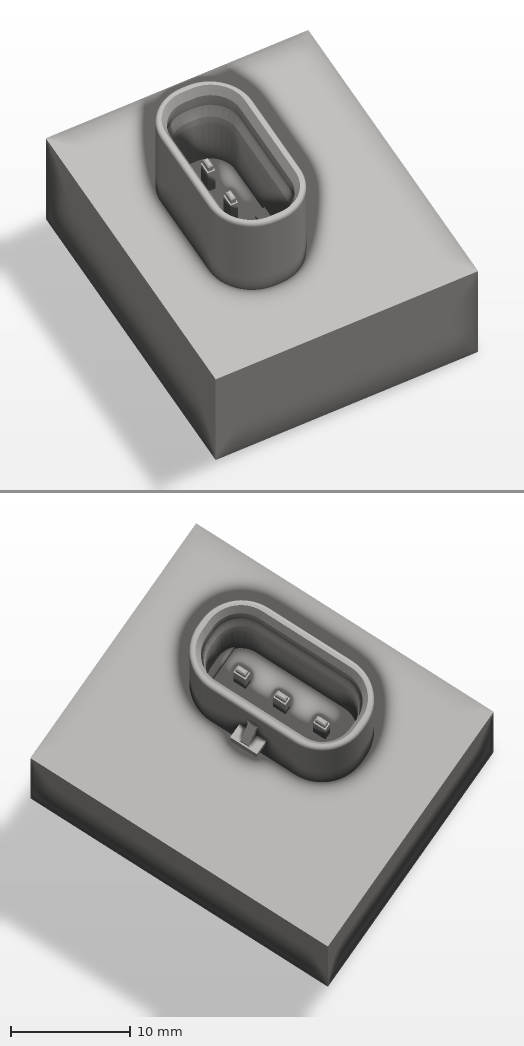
import cadquery as cq
BASE_LENGTH = 30.0
BASE_WIDTH = 25.0
BASE_HEIGHT = 10.5

SHELL_LENGTH = 16.62
SHELL_WIDTH = 8.7
SHELL_HEIGHT = 8.5
SHELL_CORNER_RADIUS = 4.08
SHELL_Y = -2.97
RIM_RADIUS = 0.3

CAVITY_STEPS = [(0.6, 0.0), (1.05, 0.85), (1.05, 2.07), (1.4, 3.18), (1.47, 3.87), (1.53, SHELL_HEIGHT)]
CAVITY_CORNER_RADIUS = 3.27

LEDGE_X = 6.12
LEDGE_HEIGHT = 0.5
LEDGE_EDGE_RADIUS = 0.25
TAB_X = 1.38
TAB_ROOT_WIDTH = 1.38
TAB_TIP_WIDTH = 0.72
TAB_REACH = 1.1
TAB_HEIGHT = 0.5
TAB_TIP_RADIUS = 0.4

PIN_COUNT = 3
PIN_PITCH = 4.02
PIN_LENGTH = 1.23
PIN_WIDTH = 0.72
PIN_HEIGHT = 2.4
PIN_SHOULDER = 0.12
PIN_TIP_LENGTH = 0.6
PIN_TIP_CHAMFER = 0.12

LATCH_REACH = 1.4
LATCH_WIDTH = 2.7
LATCH_THICKNESS = 0.93
LATCH_HEIGHT = 3.1
LATCH_EDGE_RADIUS = 0.27
LATCH_EMBED = 0.3
RIB_WIDTH = 0.8
RIB_REACH = 1.25
RIB_HEIGHT = 2.22
RIB_FRONT_HEIGHT = 0.25
ROOT_RADIUS = 0.25

rim_z = BASE_HEIGHT + SHELL_HEIGHT
wall_y = SHELL_WIDTH / 2
floor_inset, floor_depth = CAVITY_STEPS[-1]
floor_z = rim_z - floor_depth
floor_side_y = wall_y - floor_inset


def shell_plane(z):
    """Horizontal workplane on the socket axis at height z."""
    return cq.Workplane("XY", origin=(0, SHELL_Y, z))


def rounded_outline(inset, radius):
    """Sketch of the shell outline moved inwards by inset."""
    return (
        cq.Sketch()
        .rect(SHELL_LENGTH - 2 * inset, SHELL_WIDTH - 2 * inset)
        .vertices()
        .fillet(radius)
    )


def cavity_outline(inset, depth):
    """Sketch of the cavity wall, lowered to its depth below the rim."""
    mouth_inset = CAVITY_STEPS[0][0]
    radius = CAVITY_CORNER_RADIUS - (inset - mouth_inset)
    return rounded_outline(inset, radius).moved(cq.Location(cq.Vector(0, 0, -depth)))


def make_cavity():
    """Cavity that narrows from the mouth to the floor, one ruled loft per step."""
    cavity = cq.Workplane()
    for upper, lower in zip(CAVITY_STEPS, CAVITY_STEPS[1:]):
        step = shell_plane(rim_z).placeSketch(cavity_outline(*upper), cavity_outline(*lower)).loft(ruled=True)
        cavity = cavity.union(step)
    return cavity


def flared(plane, height):
    """Rib section of the given height on a workplane, flaring into its root with concave arcs."""
    half = RIB_WIDTH / 2
    foot = half + ROOT_RADIUS
    return (
        plane.moveTo(-foot, -LATCH_EMBED)
        .lineTo(-foot, 0)
        .radiusArc((-half, ROOT_RADIUS), -ROOT_RADIUS)
        .lineTo(-half, height)
        .lineTo(half, height)
        .lineTo(half, ROOT_RADIUS)
        .radiusArc((foot, 0), -ROOT_RADIUS)
        .lineTo(foot, -LATCH_EMBED)
        .close()
    )


def make_latch():
    """Latch reaching into the shell wall, with rounded lower side edges and a flared rib."""
    latch_y = SHELL_Y + wall_y
    plate_top_z = BASE_HEIGHT + LATCH_HEIGHT + LATCH_THICKNESS
    plate = (
        cq.Workplane(origin=(0, latch_y - LATCH_EMBED, plate_top_z - LATCH_THICKNESS))
        .box(LATCH_WIDTH, LATCH_REACH + LATCH_EMBED, LATCH_THICKNESS, centered=(True, False, False))
        .edges("|Y and <Z")
        .fillet(LATCH_EDGE_RADIUS)
    )
    side_plane = cq.Workplane("YZ", origin=(0, latch_y, plate_top_z))
    wedge = (
        side_plane.moveTo(-LATCH_EMBED, 0)
        .lineTo(RIB_REACH, 0)
        .lineTo(RIB_REACH, RIB_FRONT_HEIGHT)
        .lineTo(0, RIB_HEIGHT)
        .lineTo(-LATCH_EMBED, RIB_HEIGHT)
        .close()
        .extrude(LATCH_WIDTH / 2, both=True)
    )
    plate_root = (
        side_plane.lineTo(ROOT_RADIUS, 0)
        .radiusArc((0, ROOT_RADIUS), ROOT_RADIUS)
        .close()
        .extrude(LATCH_WIDTH / 2, both=True)
    )
    upright = flared(cq.Workplane("XZ", origin=(0, latch_y + RIB_REACH, plate_top_z)), RIB_HEIGHT)
    lying = flared(cq.Workplane("XY", origin=(0, latch_y, plate_top_z)), RIB_REACH)
    rib = wedge.intersect(upright.extrude(RIB_REACH + LATCH_EMBED).union(lying.extrude(RIB_HEIGHT)))
    return plate.union(plate_root).union(rib)


def make_ledge():
    """Raised strip across the +X end of the cavity floor."""
    strip = (
        shell_plane(floor_z)
        .center(LEDGE_X, 0)
        .box(SHELL_LENGTH / 2 - LEDGE_X, SHELL_WIDTH, LEDGE_HEIGHT, centered=(False, True, False))
        .edges("<X and >Z")
        .fillet(LEDGE_EDGE_RADIUS)
    )
    outline = rounded_outline(floor_inset / 2, CAVITY_CORNER_RADIUS)
    return strip.intersect(shell_plane(floor_z).placeSketch(outline).extrude(LEDGE_HEIGHT))


def make_tab():
    """Low tapered tab with a rounded tip, against the +Y side of the cavity."""
    tip_y = floor_side_y - TAB_REACH
    embedded_y = wall_y - floor_inset / 2
    return (
        shell_plane(floor_z)
        .center(TAB_X, 0)
        .polyline([
            (-TAB_ROOT_WIDTH / 2, floor_side_y),
            (-TAB_ROOT_WIDTH / 2, embedded_y),
            (TAB_ROOT_WIDTH / 2, embedded_y),
            (TAB_ROOT_WIDTH / 2, floor_side_y),
            (TAB_TIP_WIDTH / 2, tip_y),
            (-TAB_TIP_WIDTH / 2, tip_y),
        ])
        .close()
        .extrude(TAB_HEIGHT)
        .edges("|Z and <Y")
        .fillet(TAB_TIP_RADIUS)
    )


def make_pins():
    """Row of flat pins, each stepping down to a narrower tip with chamfered edges."""
    pins = (
        shell_plane(floor_z)
        .rarray(PIN_PITCH, 0.3, PIN_COUNT, 1)
        .rect(PIN_LENGTH, PIN_WIDTH)
        .extrude(PIN_HEIGHT)
    )
    tips = (
        shell_plane(floor_z + PIN_HEIGHT)
        .rarray(PIN_PITCH, 0.3, PIN_COUNT, 1)
        .rect(PIN_LENGTH - 2 * PIN_SHOULDER, PIN_WIDTH - 2 * PIN_SHOULDER)
        .extrude(PIN_TIP_LENGTH)
        .faces(">Z")
        .chamfer(PIN_TIP_CHAMFER)
    )
    return pins.union(tips)


base = cq.Workplane().box(BASE_LENGTH, BASE_WIDTH, BASE_HEIGHT, centered=(True, True, False))
shell = (
    shell_plane(BASE_HEIGHT)
    .placeSketch(rounded_outline(0, SHELL_CORNER_RADIUS))
    .extrude(SHELL_HEIGHT)
    .faces(">Z")
    .edges()
    .fillet(RIM_RADIUS)
)
result = (
    base.union(shell)
    .union(make_latch())
    .cut(make_cavity())
    .union(make_ledge())
    .union(make_tab())
    .union(make_pins())
)